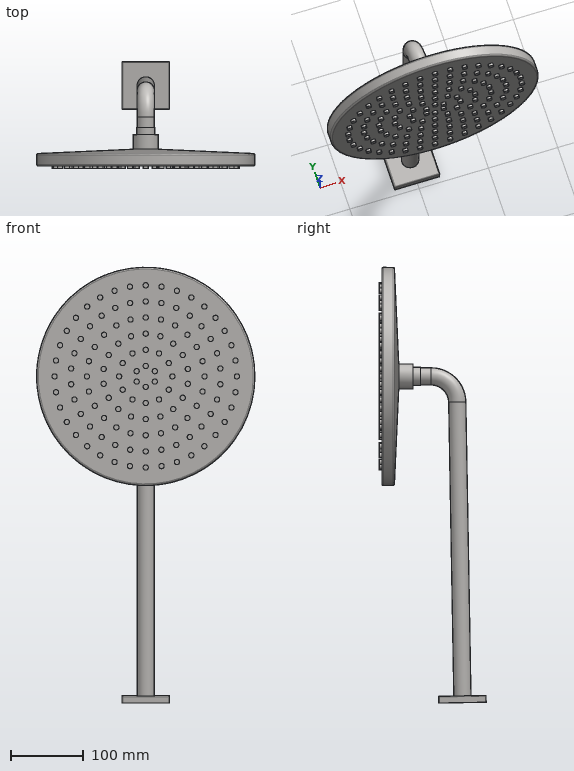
import cadquery as cq
import math


HEAD_DIAMETER = 300.0
HEAD_RADIUS = HEAD_DIAMETER / 2
TOTAL_HEIGHT = 599.0
HEAD_AXIS_Z = TOTAL_HEIGHT - HEAD_RADIUS
RIM_WIDTH = 17.5
RIM_ROUNDING = 2.5
BACK_RISE = 6.0

NOZZLE_RADIUS = 3.5
NOZZLE_HEIGHT = 3.5
NOZZLE_RING_COUNT = 6
NOZZLES_PER_RING_STEP = 6
FIRST_RING_RADIUS = 14.5
RING_SPACING = 22.0

NUT_RADIUS = 17.5
NUT_LENGTH = 20.0
SLEEVE_RADIUS = 12.5
SLEEVE_LENGTH = 10.0

PIPE_RADIUS = 12.0
STUB_LENGTH = 14.5
BEND_RADIUS = 36.0
PIPE_LEAN = 1.0

PLATE_SIZE = 65.0
PLATE_THICKNESS = 9.5
PLATE_ROUNDING = 1.0

LEAN = math.radians(PIPE_LEAN)

HEAD_BACK_Y = RIM_WIDTH + BACK_RISE
NUT_BACK_Y = HEAD_BACK_Y + NUT_LENGTH
SLEEVE_BACK_Y = NUT_BACK_Y + SLEEVE_LENGTH
STUB_BACK_Y = SLEEVE_BACK_Y + STUB_LENGTH

BEND_END_Y = STUB_BACK_Y + BEND_RADIUS * math.cos(LEAN)
BEND_END_Z = HEAD_AXIS_Z - BEND_RADIUS * (1 - math.sin(LEAN))

PLATE_TOP_Z = PLATE_THICKNESS * math.cos(LEAN) + PLATE_SIZE / 2 * math.sin(LEAN)
PIPE_LENGTH = (BEND_END_Z - PLATE_TOP_Z) / math.cos(LEAN)
PLATE_TOP_Y = BEND_END_Y + PIPE_LENGTH * math.sin(LEAN)


def plane_facing_back(y):
    """Plane on the head axis at the given Y, with its normal along +Y."""
    return cq.Plane(origin=(0, y, HEAD_AXIS_Z), xDir=(1, 0, 0), normal=(0, 1, 0))


def make_axial_cylinder(radius, front_y, length):
    """Cylinder on the head axis, running back from the given Y."""
    return cq.Workplane(plane_facing_back(front_y)).circle(radius).extrude(length)


def make_nozzles():
    """Concentric rings of round nozzles standing on the front face, each ring starting on the X = 0 plane."""
    nozzles = cq.Workplane(plane_facing_back(0))
    for ring in range(NOZZLE_RING_COUNT):
        ring_radius = FIRST_RING_RADIUS + ring * RING_SPACING
        count = NOZZLES_PER_RING_STEP * (ring + 1)
        ring_centres = nozzles.polarArray(ring_radius, 90, 360, count)
        nozzles = ring_centres.circle(NOZZLE_RADIUS)
    return nozzles.extrude(-NOZZLE_HEIGHT)


def make_head():
    """Disc with a rounded rim, a shallow conical back and rings of round nozzles on the front."""
    profile = [
        (0, 0),
        (HEAD_RADIUS, 0),
        (HEAD_RADIUS, RIM_WIDTH),
        (NUT_RADIUS, HEAD_BACK_Y),
        (0, HEAD_BACK_Y),
    ]
    disc = (
        cq.Workplane("XY", origin=(0, 0, HEAD_AXIS_Z))
        .polyline(profile)
        .close()
        .revolve(360, (0, 0, 0), (0, 1, 0))
    )
    rim_size = HEAD_RADIUS - RIM_ROUNDING
    rim_edges = [edge for edge in disc.edges("%CIRCLE").vals() if edge.radius() > rim_size]
    disc = disc.newObject(rim_edges).fillet(RIM_ROUNDING)

    return disc.union(make_nozzles())


def make_elbow():
    """Bend from the head axis down to the leaning pipe."""
    section = cq.Workplane(plane_facing_back(STUB_BACK_Y)).circle(PIPE_RADIUS)
    return section.revolve(90 - PIPE_LEAN, (0, BEND_RADIUS, 0), (-1, BEND_RADIUS, 0))


def plane_along_pipe(y, z):
    """Plane square to the straight pipe, with its normal pointing down the pipe."""
    return cq.Plane(
        origin=(0, y, z),
        xDir=(1, 0, 0),
        normal=(0, math.sin(LEAN), -math.cos(LEAN)),
    )


def make_pipe():
    """Straight pipe from the bend down to the plate."""
    return cq.Workplane(plane_along_pipe(BEND_END_Y, BEND_END_Z)).circle(PIPE_RADIUS).extrude(PIPE_LENGTH)


def make_plate():
    """Square plate with its upright corners and upper edges rounded and its underside sharp."""
    block = (
        cq.Workplane(plane_along_pipe(PLATE_TOP_Y, PLATE_TOP_Z))
        .rect(PLATE_SIZE, PLATE_SIZE)
        .extrude(PLATE_THICKNESS)
    )
    underside = block.faces("<Z").val()
    rounded_edges = [edge for edge in block.edges().vals() if edge not in underside.Edges()]
    return block.newObject(rounded_edges).fillet(PLATE_ROUNDING)


head = make_head()
nut = make_axial_cylinder(NUT_RADIUS, HEAD_BACK_Y, NUT_LENGTH)
sleeve = make_axial_cylinder(SLEEVE_RADIUS, NUT_BACK_Y, SLEEVE_LENGTH)
stub = make_axial_cylinder(PIPE_RADIUS, SLEEVE_BACK_Y, STUB_LENGTH)
elbow = make_elbow()
pipe = make_pipe()
plate = make_plate()

result = cq.Compound.makeCompound(
    [head.val(), nut.val(), sleeve.val(), stub.val(), elbow.val(), pipe.val(), plate.val()]
)